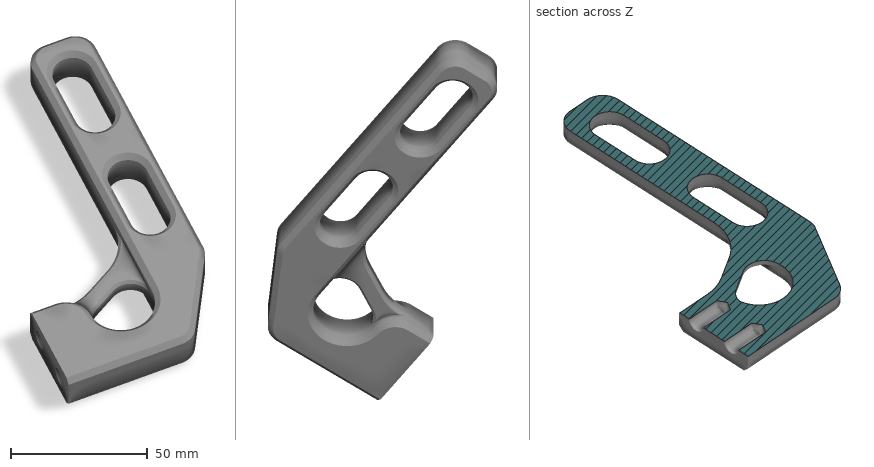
import cadquery as cq
import math

LENGTH = 142.5
DEPTH = 70.0
THICKNESS = 16.0

ARM_WIDTH = 25.1
LEG_WIDTH = 35.0
CORNER_RADIUS = 8.0
EDGE_CHAMFER = 2.0

SLOPE_DROP = 20.0
SLOPE_ANGLE = math.radians(30)

RELIEF_DIAMETER = 25.0
RELIEF_RADIUS = RELIEF_DIAMETER / 2
RELIEF_INSET = 9.0
SHOULDER_RADIUS = 10.0

SLOT_COUNT = 2
SLOT_LENGTH = 35.0
SLOT_WIDTH = 15.0
SLOT_PITCH = 50.0
FIRST_SLOT_X = 26.1

WEB_THICKNESS = 6.0
WEB_CHAMFER = 1.0
WEB_WIDTH = 7.0
WEB_ANGLE = math.radians(60)
WEB_BLEND_RADIUS = 20.0
WEB_OVERLAP = 2.8

HOLE_DIAMETER = 7.0
HOLE_SPACING = 18.0
HOLE_DEPTH = 14.2
DRILL_HALF_ANGLE = math.radians(59)

arm_edge_y = DEPTH - ARM_WIDTH
leg_x = LENGTH - LEG_WIDTH
relief_x = leg_x + RELIEF_INSET
relief_y = arm_edge_y - RELIEF_RADIUS
relief_bottom_y = arm_edge_y - RELIEF_DIAMETER

shoulder_x = leg_x + SHOULDER_RADIUS
centre_distance = RELIEF_RADIUS + SHOULDER_RADIUS
shoulder_y = relief_y - math.sqrt(centre_distance**2 - (shoulder_x - relief_x) ** 2)


def prism(outline, thickness):
    """Extrude a closed outline equally to both sides of the mid plane."""
    return outline.extrude(thickness / 2, both=True)


def round_corners(solid, corners, radius):
    """Round the upright edges that pass through the given XY corners."""
    for x, y in corners:
        solid = solid.edges(cq.selectors.NearestToPointSelector((x, y, 0))).fillet(radius)
    return solid


def make_body():
    """Arm and leg with the relief and the rounded outer corners."""
    blend = RELIEF_RADIUS / centre_distance
    blend_point = (
        relief_x + (shoulder_x - relief_x) * blend,
        relief_y + (shoulder_y - relief_y) * blend,
    )
    half_chord = SHOULDER_RADIUS * math.sqrt(0.5)
    shoulder_mid = (shoulder_x - half_chord, shoulder_y + half_chord)

    slope_start = (LENGTH - SLOPE_DROP / math.tan(SLOPE_ANGLE), DEPTH)
    slope_end = (LENGTH, DEPTH - SLOPE_DROP)
    outline = (
        cq.Workplane("XY")
        .moveTo(LENGTH, 0)
        .lineTo(*slope_end)
        .lineTo(*slope_start)
        .lineTo(0, DEPTH)
        .lineTo(0, arm_edge_y)
        .lineTo(relief_x, arm_edge_y)
        .threePointArc((relief_x + RELIEF_RADIUS, relief_y), blend_point)
        .threePointArc(shoulder_mid, (leg_x, shoulder_y))
        .lineTo(leg_x, 0)
        .close()
    )
    body = prism(outline, THICKNESS)
    corners = [(0, arm_edge_y), (0, DEPTH), slope_start, slope_end]
    return round_corners(body, corners, CORNER_RADIUS)


def make_slots():
    """Straight slots running through the arm."""
    centres = [(FIRST_SLOT_X + i * SLOT_PITCH, DEPTH - ARM_WIDTH / 2) for i in range(SLOT_COUNT)]
    outline = cq.Workplane("XY").pushPoints(centres).slot2D(SLOT_LENGTH, SLOT_WIDTH)
    return prism(outline, THICKNESS)


def make_web():
    """Thin diagonal web with blended ends and an opening next to the relief."""
    run = RELIEF_DIAMETER / math.tan(WEB_ANGLE)
    arm_corner = (leg_x - run, arm_edge_y)
    leg_corner = (leg_x, relief_bottom_y)
    left_x = arm_corner[0] - WEB_BLEND_RADIUS * math.tan(WEB_ANGLE / 2) - WEB_OVERLAP
    right_x = relief_x + RELIEF_RADIUS
    top_y = arm_edge_y + WEB_OVERLAP
    bottom_y = shoulder_y - WEB_OVERLAP
    outline = cq.Workplane("XY").polyline([
        (left_x, arm_edge_y),
        arm_corner,
        leg_corner,
        (leg_x, bottom_y),
        (right_x, bottom_y),
        (right_x, top_y),
        (left_x, top_y),
    ]).close()
    web = prism(outline, WEB_THICKNESS)
    web = round_corners(web, [arm_corner, leg_corner], WEB_BLEND_RADIUS)

    offset = WEB_WIDTH / math.sin(WEB_ANGLE)
    upper_corner = (arm_corner[0] + offset, arm_edge_y)
    lower_corner = (leg_corner[0] + offset, relief_bottom_y)
    outline = cq.Workplane("XY").polyline([
        upper_corner,
        lower_corner,
        (right_x, relief_bottom_y),
        (right_x, arm_edge_y),
    ]).close()
    opening = prism(outline, WEB_THICKNESS)
    opening = round_corners(opening, [upper_corner, lower_corner], CORNER_RADIUS)
    return web.cut(opening).faces("|Z").edges().chamfer(WEB_CHAMFER)


def make_foot_holes():
    """Blind holes with conical bottoms, drilled up into the leg from its foot."""
    radius = HOLE_DIAMETER / 2
    tip_depth = HOLE_DEPTH + radius / math.tan(DRILL_HALF_ANGLE)
    half_profile = (
        cq.Workplane("XY")
        .polyline([(0, 0), (radius, 0), (radius, HOLE_DEPTH), (0, tip_depth)])
        .close()
    )
    hole = half_profile.revolve(360, (0, 0, 0), (0, 1, 0))
    leg_centre_x = leg_x + LEG_WIDTH / 2
    left_hole = hole.translate((leg_centre_x - HOLE_SPACING / 2, 0, 0))
    right_hole = hole.translate((leg_centre_x + HOLE_SPACING / 2, 0, 0))
    return left_hole.union(right_hole)


body = make_body().cut(make_slots())
body = body.faces("|Z").edges("not(<Y)").chamfer(EDGE_CHAMFER)

result = body.union(make_web()).cut(make_foot_holes())